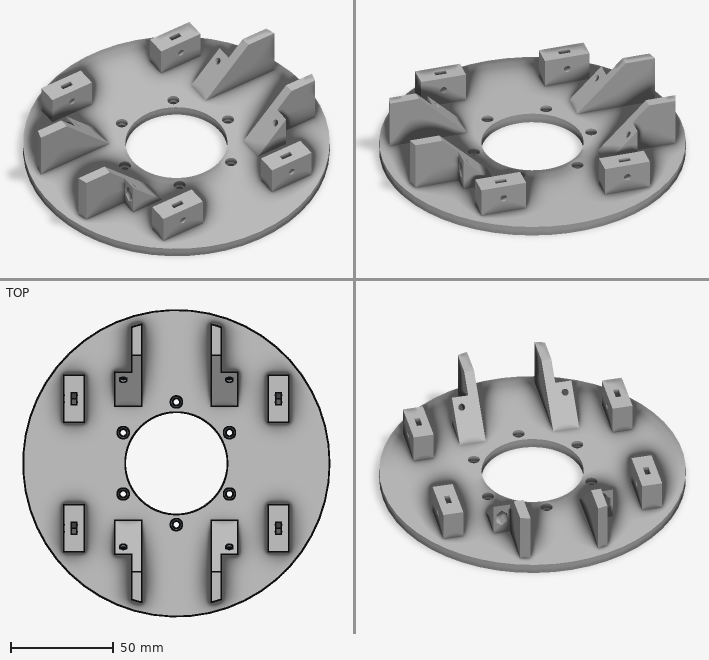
import cadquery as cq
import math

disc_diameter = 150.0
overall_height = 30.0
base_thickness = overall_height / 6
bore_diameter = 50.0

screw_diameter = 3.5
nut_across_flats = 5.5
nut_across_corners = nut_across_flats / math.cos(math.radians(30))

ring_hole_count = 6
ring_hole_radius = 30.0
counterbore_diameter = 5.8
counterbore_depth = 2.7

block_width = 10.0
block_length = 23.0
block_height = 15.0
block_x = 50.0
block_y = 31.6
block_screw_height = 8.1
nut_slot_width = 2.7
nut_slot_length = 5.8
nut_slot_point_drop = nut_slot_length / 2 / math.cos(math.radians(30))
nut_slot_shoulder_drop = nut_slot_point_drop / 2

bracket_inner_x = 17.0
fin_thickness = 5.0
bracket_width = 13.0
slope_start_y = 27.9
lug_back_y = 44.5
fin_outer_radius = 70.0
fin_height = overall_height - base_thickness
lug_screw_x = 26.0
lug_screw_y = 40.8
lug_screw_height = lug_screw_y - slope_start_y
lug_web_thickness = 2.1


def make_base():
    """Flat ring with counterbored screw holes around its bore."""
    ring = cq.Workplane("XY").circle(disc_diameter / 2).circle(bore_diameter / 2).extrude(base_thickness)
    return (
        ring.faces(">Z")
        .workplane(origin=(0, 0, base_thickness))
        .polarArray(ring_hole_radius, 90, 360, ring_hole_count)
        .cboreHole(screw_diameter, counterbore_diameter, counterbore_depth)
    )


def make_block():
    """Block at +X, +Y with a cross hole for a screw and a slot for its nut."""
    block = (
        cq.Workplane("XY", origin=(block_x, block_y, base_thickness))
        .box(block_width, block_length, block_height, centered=(True, True, False))
    )
    screw_z = base_thickness + block_screw_height
    screw_plane = cq.Workplane("YZ", origin=(block_x, block_y, screw_z))
    screw_hole = screw_plane.circle(screw_diameter / 2).extrude(block_width, both=True)

    half_length = nut_slot_length / 2
    slot_top = block_height - block_screw_height
    nut_slot = (
        screw_plane.moveTo(0, -nut_slot_point_drop)
        .lineTo(half_length, -nut_slot_shoulder_drop)
        .lineTo(half_length, slot_top)
        .lineTo(-half_length, slot_top)
        .lineTo(-half_length, -nut_slot_shoulder_drop)
        .close()
        .extrude(nut_slot_width / 2, both=True)
    )
    return block.cut(screw_hole).cut(nut_slot)


def make_bracket():
    """Bracket at +X, +Y whose slope rises away from the bore."""
    rim_distance = disc_diameter / 2 - slope_start_y
    wedge = (
        cq.Workplane("YZ", origin=(bracket_inner_x, slope_start_y, base_thickness))
        .lineTo(fin_height, fin_height)
        .lineTo(rim_distance, fin_height)
        .lineTo(rim_distance, 0)
        .close()
        .extrude(bracket_width)
    )
    behind_lug = (
        cq.Workplane("XY", origin=(bracket_inner_x + fin_thickness, lug_back_y, base_thickness))
        .box(bracket_width, disc_diameter, fin_height, centered=False)
    )
    fin_limit = cq.Workplane("XY").circle(fin_outer_radius).extrude(overall_height)
    bracket = wedge.cut(behind_lug).intersect(fin_limit)

    screw_plane = cq.Plane(
        origin=(lug_screw_x, lug_screw_y, base_thickness + lug_screw_height),
        xDir=(0, 1, 1),
        normal=(0, 1, -1),
    )
    screw_hole = cq.Workplane(screw_plane).circle(screw_diameter / 2).extrude(lug_web_thickness)
    nut_pocket = (
        cq.Workplane(screw_plane)
        .workplane(offset=lug_web_thickness)
        .polygon(6, nut_across_corners)
        .extrude(overall_height)
    )
    return bracket.cut(screw_hole).cut(nut_pocket)


def in_four_quadrants(feature):
    """Mirror a +X, +Y feature into all four quadrants."""
    pair = feature.union(feature.mirror("YZ"))
    return pair.union(pair.mirror("XZ"))


result = make_base().union(in_four_quadrants(make_block())).union(in_four_quadrants(make_bracket()))